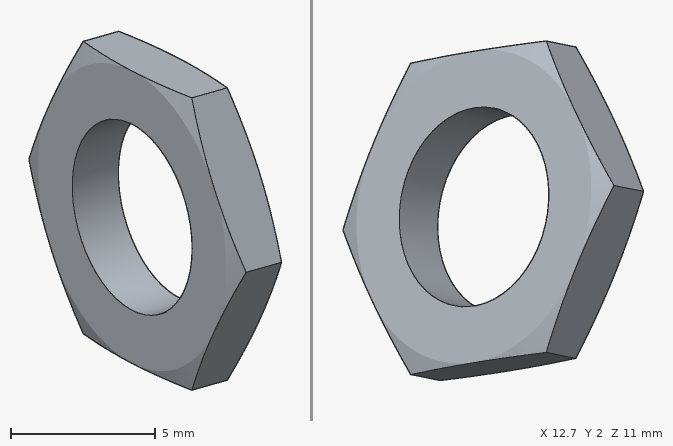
import cadquery as cq
import math

corner_diameter = 12.7
thickness = 2.0
bore_diameter = 7.0
chamfer_angle = 15.0

corner_radius = corner_diameter / 2
flat_radius = corner_radius * math.cos(math.radians(30))
half_thickness = thickness / 2

chamfer_drop = (corner_radius - flat_radius) * math.tan(math.radians(chamfer_angle))
edge_half_height = half_thickness - chamfer_drop


def hexagon_body():
    return (
        cq.Workplane("XZ")
        .workplane(offset=-half_thickness)
        .polygon(6, corner_diameter)
        .extrude(thickness)
    )


def chamfer_envelope():
    """Disc with both rims bevelled, revolved about the nut axis."""
    return (
        cq.Workplane("XY")
        .moveTo(0, -half_thickness)
        .lineTo(flat_radius, -half_thickness)
        .lineTo(corner_radius, -edge_half_height)
        .lineTo(corner_radius, edge_half_height)
        .lineTo(flat_radius, half_thickness)
        .lineTo(0, half_thickness)
        .close()
        .revolve(360, (0, 0, 0), (0, 1, 0))
    )


def bore():
    return (
        cq.Workplane("XZ")
        .workplane(offset=-half_thickness)
        .circle(bore_diameter / 2)
        .extrude(thickness)
    )


result = hexagon_body().intersect(chamfer_envelope()).cut(bore())